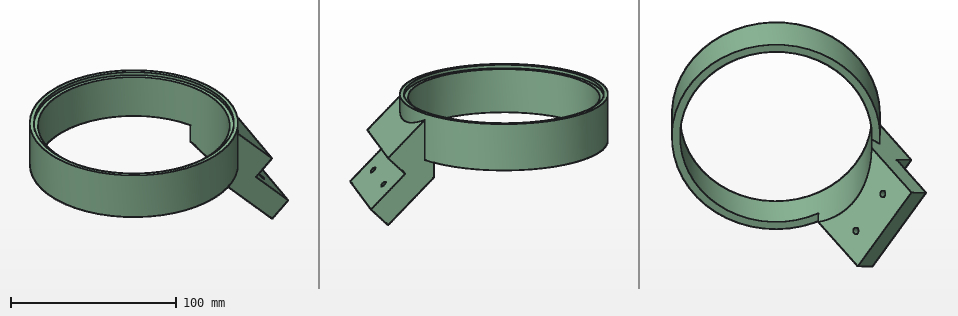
import cadquery as cq
import math

outer_diameter = 126.0
wall = 5.0
ring_height = 29.3
outer_radius = outer_diameter / 2
inner_radius = outer_radius - wall

rim_step_width = wall / 2
rim_step_depth = 2.0

bracket_width = 60.0
bracket_slope = math.radians(45)
tab_length = 30.0
tab_thickness = 15.0
notch_depth = 15.0
bracket_reach = 88.73
overall_height = 69.1
bracket_bottom = ring_height - overall_height

hole_diameter = 4.0
hole_spacing = 30.0
hole_from_tip = 15.5


def along_slope(point, distance):
    """Move up the slope, towards the ring."""
    y, z = point
    return (y - distance * math.cos(bracket_slope), z + distance * math.sin(bracket_slope))


def across_slope(point, distance):
    """Move square to the slope, from its lower face to its upper face."""
    y, z = point
    return (y + distance * math.sin(bracket_slope), z + distance * math.cos(bracket_slope))


def run_to_axis(point):
    """Move up the slope until Y = 0."""
    return along_slope(point, point[0] / math.cos(bracket_slope))


def cylinder(radius, bottom, top):
    return cq.Workplane("XY").workplane(offset=bottom).circle(radius).extrude(top - bottom)


tip_lower = (bracket_reach - tab_thickness * math.sin(bracket_slope), bracket_bottom)
tip_upper = across_slope(tip_lower, tab_thickness)


def make_bracket():
    """Stepped sloping profile, run inwards to the ring axis and trimmed at the ring's top."""
    notch_inner = along_slope(tip_upper, tab_length)
    notch_outer = across_slope(notch_inner, notch_depth)
    upper_end = run_to_axis(notch_outer)
    lower_end = run_to_axis(tip_lower)
    profile = [tip_lower, tip_upper, notch_inner, notch_outer, upper_end, lower_end]
    bracket = cq.Workplane("YZ").polyline(profile).close().extrude(bracket_width / 2, both=True)
    above_ring = cylinder(2 * outer_radius, ring_height, 2 * outer_radius)
    return bracket.cut(above_ring)


def make_hole(x):
    """Drill for one screw hole, square to the tab and exactly through it."""
    y, z = along_slope(tip_lower, hole_from_tip)
    direction = cq.Vector(0, math.sin(bracket_slope), math.cos(bracket_slope))
    drill = cq.Solid.makeCylinder(hole_diameter / 2, tab_thickness, cq.Vector(x, y, z), direction)
    return cq.Workplane(drill)


ring = cylinder(outer_radius, 0, ring_height)
bore = cylinder(inner_radius, bracket_bottom, ring_height)
rim_step = cylinder(outer_radius - rim_step_width, ring_height - rim_step_depth, ring_height)

result = ring.union(make_bracket()).cut(bore).cut(rim_step)
for side in (-1, 1):
    result = result.cut(make_hole(side * hole_spacing / 2))